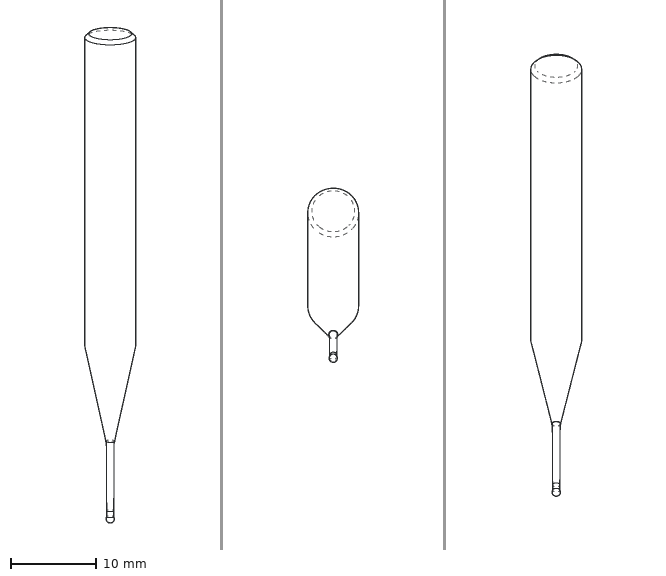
import cadquery as cq
import math

overall_length = 60.0
shank_radius = 3.0
chamfer = 0.5
shank_bottom = 21.65

taper_bottom = 10.7
collar_top_radius = 0.65
collar_bottom_radius = 0.55
neck_top = 10.0
neck_top_radius = 0.475
neck_end_radius = 0.44

head_radius = 0.5
head_length = 1.5
stem_radius = 0.4


def make_holder():
    """Chamfered shank, conical taper, tapered collar and slender tapered neck as one turned solid."""
    return (
        cq.Workplane("XZ")
        .moveTo(0, head_length)
        .lineTo(neck_end_radius, head_length)
        .lineTo(neck_top_radius, neck_top)
        .lineTo(collar_bottom_radius, neck_top)
        .lineTo(collar_top_radius, taper_bottom)
        .lineTo(shank_radius, shank_bottom)
        .lineTo(shank_radius, overall_length - chamfer)
        .lineTo(shank_radius - chamfer, overall_length)
        .lineTo(0, overall_length)
        .close()
        .revolve(360, (0, 0, 0), (0, 1, 0))
    )


def make_cutting_head():
    """Ball nose running past its equator into a stem, butted against the end of the neck."""
    ball_top = head_radius + math.sqrt(head_radius**2 - stem_radius**2)
    return (
        cq.Workplane("XZ")
        .moveTo(0, 0)
        .threePointArc((head_radius, head_radius), (stem_radius, ball_top))
        .lineTo(neck_end_radius, head_length)
        .lineTo(0, head_length)
        .close()
        .revolve(360, (0, 0, 0), (0, 1, 0))
    )


holder = make_holder()
cutting_head = make_cutting_head()

result = cq.Compound.makeCompound([holder.val(), cutting_head.val()])